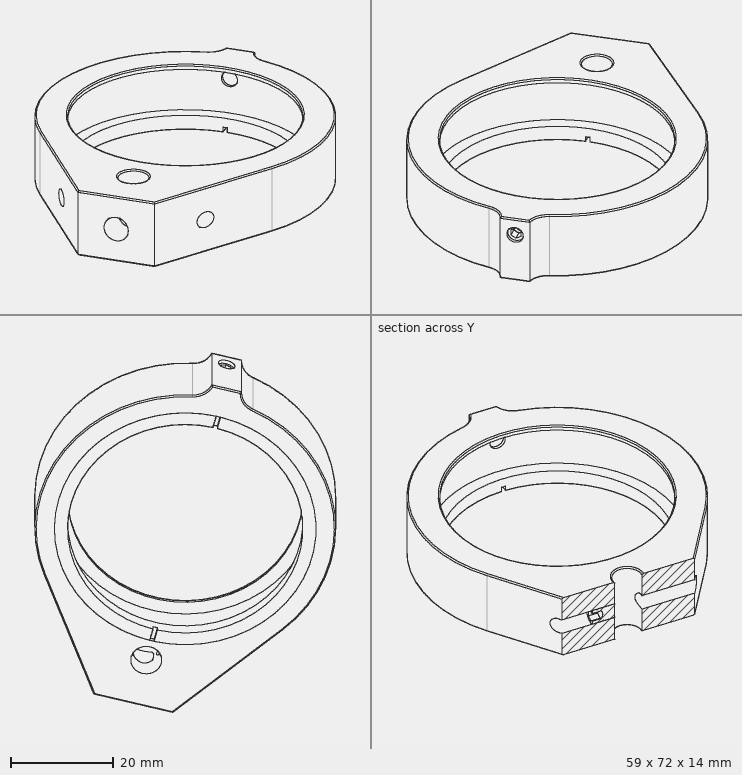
import cadquery as cq
import math

THICKNESS = 14.0
OUTER_DIAMETER = 59.0
TAB_END_Y = 32.0
FOOT_END_Y = -40.0
FOOT_HALF_WIDTH = 8.0
EDGE_CHAMFER = 0.3

TAB_HALF_WIDTH = 3.0
TAB_FLARE_RADIUS = 4.0

BORE_RADIUS = 23.05
SEAT_RADIUS = 25.6
LIP_THICKNESS = 1.0
BORE_CHAMFER = 0.3

RING_HEIGHT = 3.0
RING_SLOT_WIDTH = 0.9
RING_SLOT_DEPTH = 1.0

ROD_Y = -30.0
ROD_RADIUS = 3.0
ROD_CHAMFER = 0.3
FOOT_HOLE_RADIUS = 2.5
FOOT_HOLE_DEPTH = 7.55
DRILL_POINT_ANGLE = 118

SCREW_RADIUS = 1.65
SCREW_LENGTH = 5.0
SOCKET_ACROSS_FLATS = 2.0
SOCKET_DEPTH = 2.0
TAB_HOLE_Z = 10.4
TAB_SCREW_RECESS = 0.65

OUTER_RADIUS = OUTER_DIAMETER / 2
MID_Z = THICKNESS / 2


def cylinder(radius, height, base, direction):
    return cq.Workplane(cq.Solid.makeCylinder(radius, height, cq.Vector(*base), cq.Vector(*direction)))


def drill_point(radius, base, direction):
    """Cone left by a drill beyond the straight part of a hole."""
    height = radius / math.tan(math.radians(DRILL_POINT_ANGLE / 2))
    return cq.Workplane(
        cq.Solid.makeCone(radius, 0, height, cq.Vector(*base), cq.Vector(*direction))
    )


def tangent_point():
    """Point on the +X side where the straight flank from the foot corner meets the ring."""
    corner_distance = math.hypot(FOOT_HALF_WIDTH, FOOT_END_Y)
    corner_angle = math.atan2(FOOT_END_Y, FOOT_HALF_WIDTH)
    angle = corner_angle + math.acos(OUTER_RADIUS / corner_distance)
    return OUTER_RADIUS * math.cos(angle), OUTER_RADIUS * math.sin(angle)


def tab_flare():
    """Middle and end of the +X tab side: an arc from the tab corner, tangent to the ring."""
    corner_distance = math.hypot(TAB_HALF_WIDTH, TAB_END_Y)
    centre_distance = OUTER_RADIUS + TAB_FLARE_RADIUS
    corner_angle = math.atan2(TAB_END_Y, TAB_HALF_WIDTH)
    centre_offset = math.acos(
        (centre_distance**2 + corner_distance**2 - TAB_FLARE_RADIUS**2)
        / (2 * centre_distance * corner_distance)
    )
    centre_angle = corner_angle - centre_offset
    centre_x = centre_distance * math.cos(centre_angle)
    centre_y = centre_distance * math.sin(centre_angle)
    start_angle = math.atan2(TAB_END_Y - centre_y, TAB_HALF_WIDTH - centre_x) % (2 * math.pi)
    end_angle = centre_angle + math.pi
    middle_angle = (start_angle + end_angle) / 2
    middle = (
        centre_x + TAB_FLARE_RADIUS * math.cos(middle_angle),
        centre_y + TAB_FLARE_RADIUS * math.sin(middle_angle),
    )
    end = (OUTER_RADIUS * math.cos(centre_angle), OUTER_RADIUS * math.sin(centre_angle))
    return middle, end


def mirrored(point):
    return -point[0], point[1]


def housing_blank():
    flank = tangent_point()
    flare_middle, flare_end = tab_flare()
    ring_side = (OUTER_RADIUS, 0)
    outline = (
        cq.Workplane("XY")
        .moveTo(-FOOT_HALF_WIDTH, FOOT_END_Y)
        .lineTo(FOOT_HALF_WIDTH, FOOT_END_Y)
        .lineTo(*flank)
        .threePointArc(ring_side, flare_end)
        .threePointArc(flare_middle, (TAB_HALF_WIDTH, TAB_END_Y))
        .lineTo(-TAB_HALF_WIDTH, TAB_END_Y)
        .threePointArc(mirrored(flare_middle), mirrored(flare_end))
        .threePointArc(mirrored(ring_side), mirrored(flank))
        .close()
    )
    return outline.extrude(THICKNESS).faces("<Z or >Z").edges().chamfer(EDGE_CHAMFER)


def chamfered_bore(y, radius, chamfer):
    """Cutter for a vertical through bore with a chamfered mouth at the top."""
    bore = cylinder(radius, THICKNESS, (0, y, 0), (0, 0, 1))
    mouth = cq.Solid.makeCone(
        radius, radius + chamfer, chamfer, cq.Vector(0, y, THICKNESS - chamfer), cq.Vector(0, 0, 1)
    )
    return bore.union(cq.Workplane(mouth))


def build_housing():
    housing = housing_blank()
    housing = housing.cut(chamfered_bore(0, BORE_RADIUS, BORE_CHAMFER))
    housing = housing.cut(cylinder(SEAT_RADIUS, THICKNESS - LIP_THICKNESS, (0, 0, 0), (0, 0, 1)))
    housing = housing.cut(chamfered_bore(ROD_Y, ROD_RADIUS, ROD_CHAMFER))
    housing = housing.cut(
        cylinder(FOOT_HOLE_RADIUS, FOOT_HOLE_DEPTH, (0, FOOT_END_Y, MID_Z), (0, 1, 0))
    )
    housing = housing.cut(
        drill_point(FOOT_HOLE_RADIUS, (0, FOOT_END_Y + FOOT_HOLE_DEPTH, MID_Z), (0, 1, 0))
    )
    housing = housing.cut(
        cylinder(SCREW_RADIUS, 2 * OUTER_RADIUS, (-OUTER_RADIUS, ROD_Y, MID_Z), (1, 0, 0))
    )
    return housing.cut(cylinder(SCREW_RADIUS, TAB_END_Y, (0, 0, TAB_HOLE_Z), (0, 1, 0)))


def build_retaining_ring():
    ring = cq.Workplane("XY").circle(SEAT_RADIUS).circle(BORE_RADIUS).extrude(RING_HEIGHT)
    slots = cq.Workplane("XY").box(
        RING_SLOT_WIDTH, 2 * SEAT_RADIUS, RING_SLOT_DEPTH, centered=(True, True, False)
    )
    return ring.cut(slots)


def build_set_screw(tip, head_direction):
    """Headless screw from its tip towards its hexagon socket, whose corners face up and down."""
    socket_floor = SCREW_LENGTH - SOCKET_DEPTH
    screw = cylinder(SCREW_RADIUS, SCREW_LENGTH, (0, 0, 0), (0, 0, 1))
    hexagon = (
        cq.Workplane("XY", origin=(0, 0, socket_floor))
        .polygon(6, SOCKET_ACROSS_FLATS, circumscribed=True)
        .extrude(SOCKET_DEPTH)
    )
    socket_end = drill_point(SOCKET_ACROSS_FLATS / 2, (0, 0, socket_floor), (0, 0, -1))
    flat_direction = cq.Vector(0, 0, 1).cross(cq.Vector(*head_direction))
    placement = cq.Plane(origin=tip, xDir=flat_direction, normal=head_direction)
    return screw.cut(hexagon).cut(socket_end).val().moved(placement.location)


housing = build_housing()
retaining_ring = build_retaining_ring()

screw_places = [
    ((-ROD_RADIUS, ROD_Y, MID_Z), (-1, 0, 0)),
    ((0, SEAT_RADIUS + TAB_SCREW_RECESS, TAB_HOLE_Z), (0, 1, 0)),
]
set_screws = [build_set_screw(tip, head_direction) for tip, head_direction in screw_places]

result = cq.Compound.makeCompound([housing.val(), retaining_ring.val(), *set_screws])